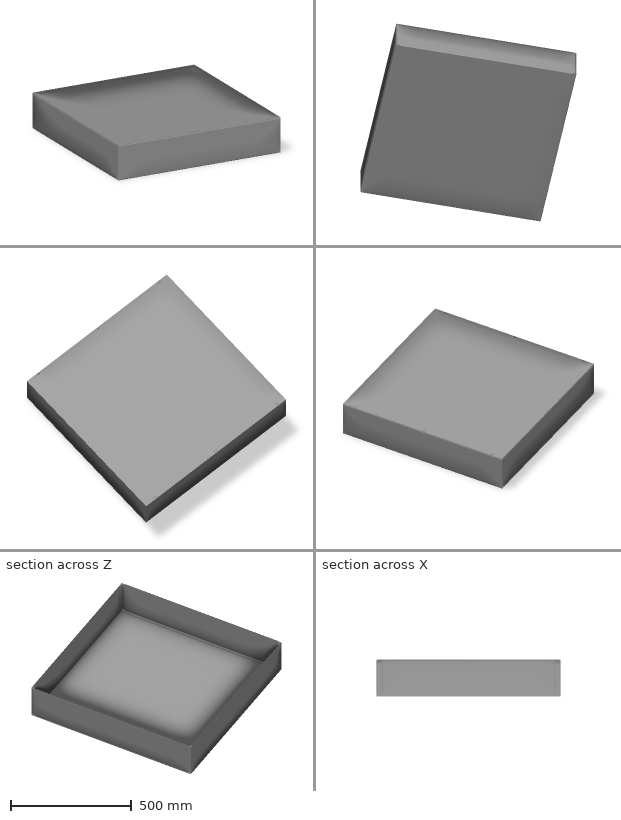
import cadquery as cq

WIDTH = 762.0
HEIGHT = 155.0
COVER_SHEET = 2.5
SHEET = 2.75
BEND = 4.0

TOP_REACH = 13.0
SIDE_REACH = 16.0
FLANGE_INSET = 17.0

KEYHOLE_X = 374.0
KEYHOLE_PITCH = 330.0
HEAD_DIAMETER = 10.0
HEAD_DROP = 7.0
NECK_WIDTH = 6.0
NECK_RISE = 4.0

SLOT_LENGTH = 7.0
SLOT_WIDTH = 2.0
SLOT_INSET = 6.0

HALF = WIDTH / 2
COVER_BOTTOM = HEIGHT - COVER_SHEET
INNER_BEND = BEND - SHEET


def box_between(low, high):
    """Box with opposite corners at low and high."""
    size = [b - a for a, b in zip(low, high)]
    return cq.Workplane("XY").box(*size, centered=False).translate(low)


def make_channel():
    """Floor and two side walls bent from one sheet, with flanges folded in along the top."""
    outer = box_between((-HALF, -HALF, 0), (HALF, HALF, COVER_BOTTOM))
    outer = outer.edges("|Y").fillet(BEND)
    inner_half = HALF - SHEET
    inner = box_between((-inner_half, -HALF, SHEET), (inner_half, HALF, COVER_BOTTOM - SHEET))
    inner = inner.edges("|Y").fillet(INNER_BEND)
    opening_half = HALF - TOP_REACH
    opening = box_between((-opening_half, -HALF, HEIGHT / 2), (opening_half, HALF, HEIGHT))
    return outer.cut(inner).cut(opening)


def folded_strip(half_length, z_low, z_high, reach, bend_axis):
    """Front wall with a flange folded back at both ends, about bends along bend_axis ("X" or "Z")."""
    x_skin = SHEET if bend_axis == "Z" else 0
    z_skin = SHEET if bend_axis == "X" else 0
    front_bends = f"|{bend_axis} and <Y"
    back = -HALF + reach
    outer = box_between((-half_length, -HALF, z_low), (half_length, back, z_high))
    outer = outer.edges(front_bends).fillet(BEND)
    inner = box_between(
        (-half_length + x_skin, -HALF + SHEET, z_low + z_skin),
        (half_length - x_skin, back, z_high - z_skin),
    )
    inner = inner.edges(front_bends).fillet(INNER_BEND)
    return outer.cut(inner)


def make_front_panel():
    """Wall at -Y with four flanges folded back, between the channel walls, its floor and the cover."""
    side_strip = folded_strip(HALF - SHEET, SHEET + BEND, COVER_BOTTOM - BEND, SIDE_REACH, "Z")
    upright_strip = folded_strip(HALF - FLANGE_INSET, SHEET, COVER_BOTTOM, TOP_REACH, "X")
    return side_strip.union(upright_strip)


def make_end_panels():
    """The front panel and its mirror image at +Y."""
    front = make_front_panel()
    return [front, front.mirror("XZ")]


def keyhole_cutter(x, y):
    """Round head toward -Y with a narrower round-ended neck toward +Y."""
    head = cq.Workplane("XY").center(x, y - HEAD_DROP).circle(HEAD_DIAMETER / 2).extrude(HEIGHT)
    neck_length = HEAD_DROP + NECK_RISE + NECK_WIDTH / 2
    neck_y = y + NECK_RISE - neck_length / 2
    neck = cq.Workplane("XY").center(x, neck_y).slot2D(neck_length, NECK_WIDTH, 90).extrude(HEIGHT)
    return head.union(neck)


def make_cover():
    """Flat plate lying on the flanges, with six keyholes and two small slots."""
    plate = box_between((-HALF, -HALF, COVER_BOTTOM), (HALF, HALF, HEIGHT))
    for x in (-KEYHOLE_X, KEYHOLE_X):
        for y in (-KEYHOLE_PITCH, 0, KEYHOLE_PITCH):
            plate = plate.cut(keyhole_cutter(x, y))
    slot_y = HALF - SLOT_INSET
    slots = (
        cq.Workplane("XY")
        .pushPoints([(0, -slot_y), (0, slot_y)])
        .slot2D(SLOT_LENGTH, SLOT_WIDTH, 90)
        .extrude(HEIGHT)
    )
    return plate.cut(slots)


channel = make_channel()
end_panels = make_end_panels()
cover = make_cover()

result = cq.Compound.makeCompound(
    [channel.val(), *[panel.val() for panel in end_panels], cover.val()]
)